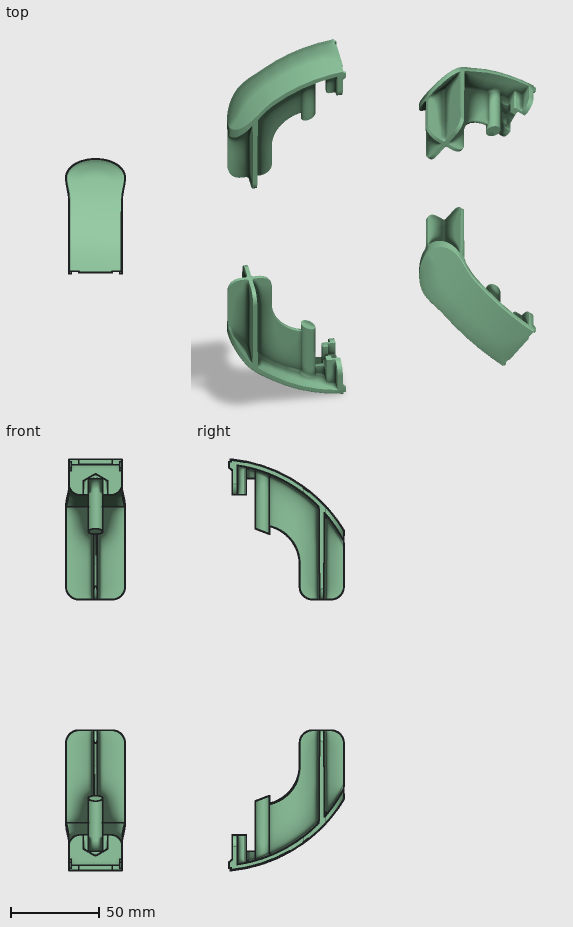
import cadquery as cq
import math

TOP_Z = 116.47
BOTTOM_Z = 36.9
DEPTH = 65.15

OUTER_RADIUS = 84.62
SHELL_THICKNESS = 3.0
ARC_CENTRE_Y = -7.35
MOUTH_Y = 0.8
ARC_CENTRE_Z = TOP_Z - math.sqrt(OUTER_RADIUS**2 - (MOUTH_Y - ARC_CENTRE_Y) ** 2)
SHELL_EDGE_ROUND = 0.5
LIP_HALF_WIDTH = 9.45
MOUTH_SETBACK = 0.6

NECK_HALF_WIDTH = 15.1
HEAD_HALF_WIDTH = 33.59 / 2
FLARE_START_Y = 42.0
HEAD_Y = 54.5

PLATE_Y = 52.5
PLATE_TOP_THICKNESS = 3.5
PLATE_BOTTOM_THICKNESS = 2.2
WEB_THICKNESS = 2.0
WEB_EDGE_ROUND = 0.5
WEB_FRONT_Y = 39.9
WEB_ARC_RADIUS = 22.0
WEB_ARC_CENTRE_Z = 57.0
CORNER_RADIUS = 7.5
JOINT_FILLET = 1.4

POST_RADIUS = 4.1
POST_Y = 18.95
POST_END_Z = 75.5
POST_END_TILT = 21.0

MOUTH_PLATE_FRONT_Y = 1.8
MOUTH_PLATE_THICKNESS = 3.0
MOUTH_PLATE_HALF_WIDTH = NECK_HALF_WIDTH
MOUTH_PLATE_BOTTOM_Z = 96.2
MOUTH_PLATE_CORNER_RADIUS = 6.3
BLOCK_HALF_WIDTH = 8.2
BLOCK_BACK_Y = 9.8
BLOCK_CORNER_RADIUS = 1.0
BLOCK_ROOT_FILLET = 0.6
NUT_HALF_WIDTH = 6.85
NUT_CENTRE_Z = 100.2
NUT_POCKET_BACK_Y = 6.6
SLOT_HALF_WIDTH = 4.1
RIB_BOTTOM_Z = 105.4

TAB_INNER_X = 13.6
TAB_TOP_Z = 115.0
TAB_BOTTOM_Z = 111.7
TAB_ROOT_Z = 110.0
TAB_ROOT_Y = MOUTH_PLATE_FRONT_Y + MOUTH_PLATE_THICKNESS

TRIM_EXCESS = 5.0
TOLERANCE = 0.01


def box_between(x_range, y_range, z_range):
    """Box from its lower and upper limits along each axis."""
    sizes = [high - low for low, high in (x_range, y_range, z_range)]
    corner = (x_range[0], y_range[0], z_range[0])
    return cq.Workplane("XY").box(*sizes, centered=False).translate(corner)


def arc_cylinder(radius):
    """Full cylinder along X around the centre of the shell's arc."""
    return (
        cq.Workplane("YZ")
        .center(ARC_CENTRE_Y, ARC_CENTRE_Z)
        .circle(radius)
        .extrude(HEAD_HALF_WIDTH + 1, both=True)
    )


def outline_prism():
    """Prism over the neck, flare and elliptical head, as seen along Z."""
    return (
        cq.Workplane("XY")
        .moveTo(-NECK_HALF_WIDTH, MOUTH_Y)
        .lineTo(NECK_HALF_WIDTH, MOUTH_Y)
        .lineTo(NECK_HALF_WIDTH, FLARE_START_Y)
        .spline([(HEAD_HALF_WIDTH, HEAD_Y)], tangents=[(0, 1), (0, 1)], includeCurrent=True)
        .ellipseArc(HEAD_HALF_WIDTH, DEPTH - HEAD_Y, 0, 180, startAtCurrent=True)
        .spline([(-NECK_HALF_WIDTH, FLARE_START_Y)], tangents=[(0, -1), (0, -1)], includeCurrent=True)
        .close()
        .extrude(TOP_Z + 1)
    )


def envelope():
    """Solid inside the guard's outer surfaces, with rounded upper edges and lower corners."""
    body = outline_prism().intersect(arc_cylinder(OUTER_RADIUS))
    body = body.faces("%CYLINDER").faces(">Z").edges("not <Y").fillet(SHELL_EDGE_ROUND)
    width = (-HEAD_HALF_WIDTH, HEAD_HALF_WIDTH)
    leg_rounded_in_front = (
        box_between(width, (WEB_FRONT_Y, DEPTH), (BOTTOM_Z, TOP_Z)).edges("|Y and <Z").fillet(CORNER_RADIUS)
    )
    leg_rounded_at_sides = (
        box_between(width, (WEB_FRONT_Y, DEPTH), (BOTTOM_Z, TOP_Z)).edges("|X and <Z").fillet(CORNER_RADIUS)
    )
    arm = box_between(width, (0, DEPTH), (WEB_ARC_CENTRE_Z, TOP_Z))
    return body.intersect(leg_rounded_in_front.intersect(leg_rounded_at_sides).union(arm))


def shell():
    """Curved shell as a full-width arc, still without its outline."""
    ring = arc_cylinder(OUTER_RADIUS + TRIM_EXCESS).cut(arc_cylinder(OUTER_RADIUS - SHELL_THICKNESS))
    quarter = box_between(
        (-HEAD_HALF_WIDTH, HEAD_HALF_WIDTH), (0, DEPTH + TRIM_EXCESS), (ARC_CENTRE_Z, TOP_Z + TRIM_EXCESS)
    )
    return ring.intersect(quarter)


def mouth_setbacks():
    """Shallow cuts that set the shell's mouth back on both sides of its middle."""
    cut = box_between((LIP_HALF_WIDTH, HEAD_HALF_WIDTH), (0, MOUTH_Y + MOUTH_SETBACK), (0, TOP_Z + 1))
    return cut.union(cut.mirror("YZ"))


def cross_plate():
    """Plate across the guard, thinner downwards, with its lower end still plain and too long."""
    top_half = PLATE_TOP_THICKNESS / 2
    bottom_half = PLATE_BOTTOM_THICKNESS / 2
    low_z = BOTTOM_Z - TRIM_EXCESS
    return (
        cq.Workplane("YZ")
        .polyline(
            [
                (PLATE_Y - bottom_half, low_z),
                (PLATE_Y + bottom_half, low_z),
                (PLATE_Y + top_half, TOP_Z),
                (PLATE_Y - top_half, TOP_Z),
            ]
        )
        .close()
        .extrude(HEAD_HALF_WIDTH, both=True)
    )


def web():
    """Central web with an arched, rounded front edge, too long at its lower end and rear."""
    arc_centre_y = WEB_FRONT_Y - WEB_ARC_RADIUS
    post_rise = math.sqrt(WEB_ARC_RADIUS**2 - (POST_Y - arc_centre_y) ** 2)
    arc_middle = WEB_ARC_RADIUS * math.sqrt(0.5)
    low_z = BOTTOM_Z - TRIM_EXCESS
    rear_y = DEPTH + TRIM_EXCESS
    return (
        cq.Workplane("YZ")
        .moveTo(POST_Y, TOP_Z)
        .lineTo(POST_Y, WEB_ARC_CENTRE_Z + post_rise)
        .threePointArc(
            (arc_centre_y + arc_middle, WEB_ARC_CENTRE_Z + arc_middle), (WEB_FRONT_Y, WEB_ARC_CENTRE_Z)
        )
        .lineTo(WEB_FRONT_Y, low_z)
        .lineTo(rear_y, low_z)
        .lineTo(rear_y, TOP_Z)
        .close()
        .extrude(WEB_THICKNESS / 2, both=True)
        .faces("%CYLINDER")
        .edges("not |X")
        .fillet(WEB_EDGE_ROUND)
    )


def post():
    """Round post hanging from the shell, its end sloping down towards the rear."""
    end_drop = POST_RADIUS * math.tan(math.radians(POST_END_TILT))
    body = cq.Workplane("XY").center(0, POST_Y).circle(POST_RADIUS).extrude(TOP_Z)
    below_end = (
        cq.Workplane("YZ")
        .polyline(
            [
                (POST_Y - POST_RADIUS, 0),
                (POST_Y + POST_RADIUS, 0),
                (POST_Y + POST_RADIUS, POST_END_Z - end_drop),
                (POST_Y - POST_RADIUS, POST_END_Z + end_drop),
            ]
        )
        .close()
        .extrude(POST_RADIUS, both=True)
    )
    return body.cut(below_end)


def rib():
    """Low rib between the post and the block behind the mouth plate."""
    half = WEB_THICKNESS / 2
    return box_between((-half, half), (NUT_POCKET_BACK_Y, POST_Y), (RIB_BOTTOM_Z, TOP_Z))


def mouth_plate():
    """Plate across the mouth with a thicker block behind it, still without its pocket."""
    plate_back_y = MOUTH_PLATE_FRONT_Y + MOUTH_PLATE_THICKNESS
    plate = (
        box_between(
            (-MOUTH_PLATE_HALF_WIDTH, MOUTH_PLATE_HALF_WIDTH),
            (MOUTH_PLATE_FRONT_Y, plate_back_y),
            (MOUTH_PLATE_BOTTOM_Z, TOP_Z),
        )
        .edges("|Y and <Z")
        .fillet(MOUTH_PLATE_CORNER_RADIUS)
    )
    block = (
        box_between(
            (-BLOCK_HALF_WIDTH, BLOCK_HALF_WIDTH),
            (MOUTH_PLATE_FRONT_Y, BLOCK_BACK_Y),
            (MOUTH_PLATE_BOTTOM_Z, TOP_Z),
        )
        .edges("|Z and >Y")
        .fillet(BLOCK_CORNER_RADIUS)
    )
    root_edges = cq.selectors.BoxSelector(
        (-BLOCK_HALF_WIDTH - 1, plate_back_y - 1, 0), (BLOCK_HALF_WIDTH + 1, plate_back_y + 1, TOP_Z)
    )
    return plate.union(block).edges("|Z").edges(root_edges).fillet(BLOCK_ROOT_FILLET)


def nut_pocket():
    """Hexagonal pocket open at the bottom, with a narrower screw slot behind it."""
    corner_rise = NUT_HALF_WIDTH * math.tan(math.radians(30))
    pocket = (
        cq.Workplane("XZ", origin=(0, NUT_POCKET_BACK_Y, 0))
        .polyline(
            [
                (-NUT_HALF_WIDTH, 0),
                (NUT_HALF_WIDTH, 0),
                (NUT_HALF_WIDTH, NUT_CENTRE_Z + corner_rise),
                (0, NUT_CENTRE_Z + 2 * corner_rise),
                (-NUT_HALF_WIDTH, NUT_CENTRE_Z + corner_rise),
            ]
        )
        .close()
        .extrude(NUT_POCKET_BACK_Y)
    )
    slot = box_between((-SLOT_HALF_WIDTH, SLOT_HALF_WIDTH), (0, BLOCK_BACK_Y), (0, RIB_BOTTOM_Z))
    return pocket.union(slot)


def tabs():
    """Two small tabs standing out of the mouth at its sides."""
    profile = [
        (0, TAB_TOP_Z),
        (0, TAB_BOTTOM_Z),
        (MOUTH_PLATE_FRONT_Y, TAB_ROOT_Z),
        (TAB_ROOT_Y, TAB_ROOT_Z),
        (TAB_ROOT_Y, TAB_TOP_Z),
    ]
    tab = (
        cq.Workplane("YZ", origin=(TAB_INNER_X, 0, 0))
        .polyline(profile)
        .close()
        .extrude(NECK_HALF_WIDTH - TAB_INNER_X)
    )
    return tab.union(tab.mirror("YZ"))


def joint_edges(body):
    """Edges where the web, rib and post meet the shell, the cross plate and the block."""
    half_web = WEB_THICKNESS / 2
    inner_radius = OUTER_RADIUS - SHELL_THICKNESS

    def is_joint(edge):
        middle = edge.positionAt(0.5)
        if edge.geomType() == "LINE":
            on_web_side = abs(abs(middle.x) - half_web) < TOLERANCE
            at_plate = abs(middle.y - PLATE_Y) < PLATE_TOP_THICKNESS / 2
            return on_web_side and (at_plate or abs(middle.y - BLOCK_BACK_Y) < TOLERANCE)
        radius = math.dist((middle.y, middle.z), (ARC_CENTRE_Y, ARC_CENTRE_Z))
        return abs(radius - inner_radius) < TOLERANCE and abs(middle.x) < POST_RADIUS + TOLERANCE

    return [edge for edge in body.edges().vals() if is_joint(edge)]


def guard():
    """The upper guard as one solid."""
    ceiling = arc_cylinder(OUTER_RADIUS - SHELL_THICKNESS / 2)
    inside = cross_plate().union(web()).union(post()).union(rib()).union(mouth_plate()).intersect(ceiling)
    body = shell().union(inside)
    body = body.newObject(joint_edges(body)).fillet(JOINT_FILLET)
    body = body.intersect(envelope()).cut(mouth_setbacks())
    return body.cut(nut_pocket()).union(tabs())


upper_guard = guard()
lower_guard = upper_guard.mirror("XY")
result = cq.Compound.makeCompound([upper_guard.val(), lower_guard.val()])